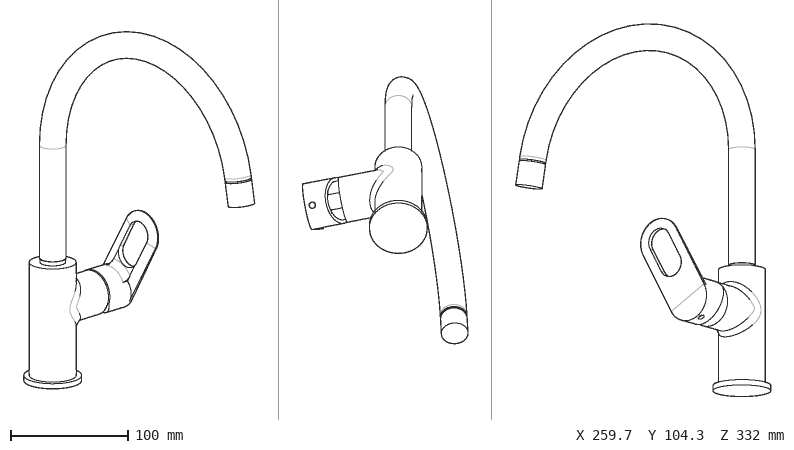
import cadquery as cq
import math

flange_diameter = 49.5
flange_height = 4.5
column_diameter = 40.2
column_height = 105.5
branch_diameter = 39.2
branch_axis_height = 67.8
branch_end = 48.0
branch_bevel = 4.3
stem_diameter = 13.3
stem_end = 66.5

total_height = 332
spout_diameter = 23.0
spout_collar_diameter = 22.0
spout_collar_height = 3.5
bend_radius = 110.5
outlet_tilt = 10
groove_diameter = 22.0
groove_lead = 2.5
groove_width = 1.3

aerator_diameter = 23.0
aerator_length = 21.0

handle_lean = 30
hub_diameter = 40.0
hub_start = 49.5
handle_back = 79.5
clearance_depth = 11.5
clearance_hinge = 3.3
lever_length = 61.5
lever_front = 73.0
lever_rim = 1.0
lever_slope_width = 9.0
lever_back_drop = 2.0
slot_width = 22.5
slot_bottom = 26.0
cavity_diameter = 33.5
cavity_end = 61.5
lever_root_fillet = 5.3
screw_hole_diameter = 5.3
screw_hole_depth = 3.3
screw_hole_position = 73.0

bend_height = total_height - spout_diameter / 2 - bend_radius
tilt = math.radians(outlet_tilt)
outlet_direction = cq.Vector(math.sin(tilt), 0, -math.cos(tilt))
bend_end = cq.Vector(
    bend_radius * (1 + math.cos(tilt)), 0, bend_height + bend_radius * math.sin(tilt)
)


def cylinder_y(diameter, start, end):
    """Cylinder on the branch axis between two Y positions."""
    axis_point = cq.Vector(0, start, branch_axis_height)
    solid = cq.Solid.makeCylinder(diameter / 2, end - start, axis_point, cq.Vector(0, 1, 0))
    return cq.Workplane(obj=solid)


def outlet_cylinder(diameter, start, length):
    """Cylinder on the outlet axis, starting a given distance past the bend."""
    base = bend_end + outlet_direction * start
    solid = cq.Solid.makeCylinder(diameter / 2, length, base, outlet_direction)
    return cq.Workplane(obj=solid)


def make_body():
    column = cq.Workplane("XY").circle(column_diameter / 2).extrude(column_height)
    branch = cylinder_y(branch_diameter, 0, branch_end)
    joint = column.union(branch)
    outside = flange_diameter / 2
    joint_curve = cq.selectors.BoxSelector(
        (-outside, 0, branch_axis_height - outside),
        (outside, column_diameter / 2, branch_axis_height + outside),
    )
    joint = joint.edges(joint_curve).chamfer(branch_bevel)
    flange = cq.Workplane("XY").circle(flange_diameter / 2).extrude(flange_height)
    stem = cylinder_y(stem_diameter, 0, stem_end)
    return joint.union(flange).union(stem)


def make_spout():
    tube_start = column_height + spout_collar_height
    collar = (
        cq.Workplane("XY", origin=(0, 0, column_height))
        .circle(spout_collar_diameter / 2)
        .extrude(spout_collar_height)
    )
    path = (
        cq.Workplane("XZ")
        .moveTo(0, tube_start)
        .lineTo(0, bend_height)
        .threePointArc(
            (
                bend_radius * (1 - math.sin(tilt / 2)),
                bend_height + bend_radius * math.cos(tilt / 2),
            ),
            (bend_end.x, bend_end.z),
        )
    )
    tube = cq.Workplane("XY", origin=(0, 0, tube_start)).circle(spout_diameter / 2).sweep(path)
    lead = outlet_cylinder(spout_diameter, 0, groove_lead)
    groove = outlet_cylinder(groove_diameter, groove_lead, groove_width)
    return collar.union(tube).union(lead).union(groove)


def make_aerator():
    return outlet_cylinder(aerator_diameter, groove_lead + groove_width, aerator_length)


def lever_outline(y):
    """Stadium from the hub axis to the loop end, drawn in the XZ plane at a given Y."""
    middle = branch_axis_height + lever_length / 2
    return (
        cq.Workplane("XZ", origin=(0, y, middle))
        .slot2D(lever_length + hub_diameter, hub_diameter, 90)
    )


def make_lever():
    """Upright stadium plate whose front edge slopes back towards the rim."""
    slope_start = handle_back - lever_back_drop - lever_rim
    slope_depth = slope_start - lever_front
    slope_taper = math.degrees(math.atan(lever_slope_width / slope_depth))
    rim = lever_outline(handle_back).extrude(handle_back - slope_start)
    slope = lever_outline(slope_start).extrude(slope_depth, taper=slope_taper)
    return rim.union(slope)


def make_lever_slot():
    slot_top = lever_length + slot_width / 2
    return (
        cq.Workplane("XZ", origin=(0, handle_back, branch_axis_height + (slot_bottom + slot_top) / 2))
        .slot2D(slot_top - slot_bottom, slot_width, 90)
        .extrude(handle_back - lever_front)
    )


def make_lever_root():
    """Concave fillet between the hub and the lever front, as wide as the slot."""
    hub_radius = hub_diameter / 2
    outer_radius = hub_radius + lever_root_fillet
    fillet_start = lever_front - lever_root_fillet
    arc_offset = lever_root_fillet * math.sqrt(0.5)
    ring = (
        cq.Workplane("XY", origin=(0, 0, branch_axis_height))
        .moveTo(0, fillet_start)
        .lineTo(hub_radius, fillet_start)
        .threePointArc(
            (outer_radius - arc_offset, fillet_start + arc_offset), (outer_radius, lever_front)
        )
        .lineTo(outer_radius, lever_front + lever_root_fillet)
        .lineTo(0, lever_front + lever_root_fillet)
        .close()
        .revolve(360, (0, 0, 0), (0, 1, 0))
    )
    strip = (
        cq.Workplane("XY", origin=(0, lever_front, branch_axis_height))
        .rect(slot_width, 2 * lever_root_fillet)
        .extrude(outer_radius)
    )
    return ring.intersect(strip)


def handle_wedge(points):
    """Triangle given as (Y, height above hub axis), extruded across the whole handle."""
    return (
        cq.Workplane("YZ", origin=(0, 0, branch_axis_height))
        .polyline(points)
        .close()
        .extrude(hub_diameter, both=True)
    )


def make_handle():
    hub = cylinder_y(hub_diameter, hub_start, handle_back)
    handle = hub.union(make_lever()).union(make_lever_root())
    handle = handle.cut(make_lever_slot())

    lever_tip = lever_length + hub_diameter / 2
    back_relief = handle_wedge(
        [(handle_back, 0), (handle_back, lever_tip), (handle_back - lever_back_drop, lever_tip)]
    )
    hub_bottom = -hub_diameter / 2
    tilt_clearance = handle_wedge(
        [(hub_start, clearance_hinge), (hub_start, hub_bottom), (hub_start + clearance_depth, hub_bottom)]
    )
    screw_hole = (
        cq.Workplane("XY", origin=(0, screw_hole_position, branch_axis_height + hub_bottom))
        .circle(screw_hole_diameter / 2)
        .extrude(screw_hole_depth)
    )
    cavity = cylinder_y(cavity_diameter, hub_start, cavity_end)
    stem_recess = cylinder_y(stem_diameter, hub_start, stem_end)

    handle = handle.cut(back_relief).cut(tilt_clearance).cut(screw_hole).cut(cavity).cut(stem_recess)
    return handle.rotate((0, 0, branch_axis_height), (0, 1, branch_axis_height), handle_lean)


body = make_body()
spout = make_spout()
aerator = make_aerator()
handle = make_handle()

result = cq.Compound.makeCompound([part.solids().val() for part in (body, spout, aerator, handle)])